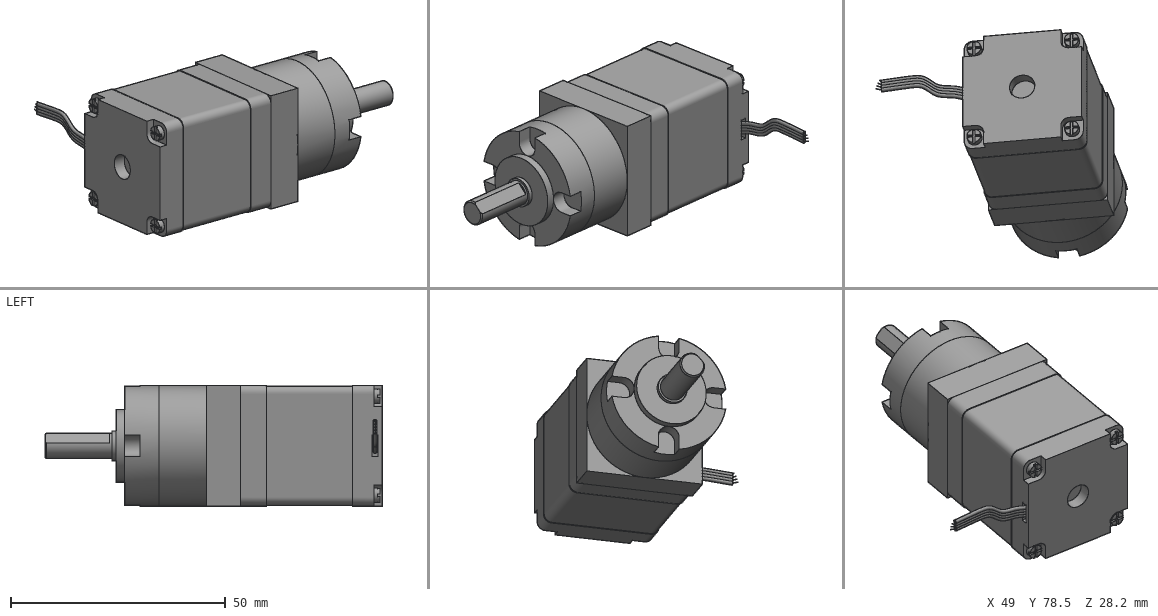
import cadquery as cq


rear_cap_length = 7.0
stator_length = 20.0
front_cap_length = 6.0
adapter_length = 8.0
ring_length = 11.1
cover_length = 7.9
pilot_length = 2.0
collar_length = 1.0
total_length = 78.5

motor_length = rear_cap_length + stator_length + front_cap_length
ring_start = motor_length + adapter_length
cover_start = ring_start + ring_length
pilot_start = cover_start + cover_length
shaft_start = pilot_start + pilot_length
shaft_length = total_length - shaft_start

motor_width = 28.2
corner_radius = 2.05
stator_inset = 0.2
rear_bore_diameter = 6.0
rear_bore_depth = 3.0

pocket_size = 4.95
pocket_depth = 2.0
pocket_corner_radius = 2.0
screw_spacing = 23.1
screw_diameter = 3.4
screw_height = 1.4
drive_width = 0.55
drive_depth = 0.55

opening_height = 5.0
opening_width = 1.4
opening_depth = 2.0
wire_y = 1.7
wire_diameter = 0.95
wire_pitch = 0.7
wire_root_z = -0.2
wire_end = (-33.6, 4.2)
wire_bends = [(-26.7, 4.6), (-24.1, 4.4), (-20.3, 1.8), (-16.8, 1.1)]
wire_end_slope = 0.05
wire_root_slope = -0.25
strand_diameter = 0.12
strand_tips_x = [-34.9, -34.7, -34.5, -34.0]
strand_rise = 0.5

gearbox_diameter = motor_width
pilot_diameter = 16.95
slot_count = 4
slot_width = 5.0
slot_depth = 3.5

shaft_diameter = 6.0
collar_diameter = 7.0
shaft_chamfer = 0.3
flat_distance = 2.5
flat_length = 15.0
flat_angle = 135

half_width = motor_width / 2


def facing_front(y):
    """Sketch plane across the axis at the given Y; a negative extrusion runs toward +Y."""
    return cq.Workplane("XZ", origin=(0, y, 0))


def cylinder(y, diameter, length):
    return facing_front(y).circle(diameter / 2).extrude(-length)


def square_block(y, width, length):
    return facing_front(y).rect(width, width).extrude(-length)


def screw_positions():
    offset = screw_spacing / 2
    return [(x, z) for x in (-offset, offset) for z in (-offset, offset)]


def motor_housing():
    stator_width = motor_width - 2 * stator_inset
    rear_cap = square_block(0, motor_width, rear_cap_length).edges("|Y").fillet(corner_radius)
    stator = square_block(rear_cap_length, stator_width, stator_length)
    stator = stator.edges("|Y").fillet(corner_radius - stator_inset)
    front_cap = square_block(rear_cap_length + stator_length, motor_width, front_cap_length)
    front_cap = front_cap.edges("|Y").fillet(corner_radius)
    rear_bore = cylinder(0, rear_bore_diameter, rear_bore_depth)
    return rear_cap.union(stator).union(front_cap).cut(rear_bore)


def corner_pockets():
    """Pockets open at the motor's corners, with only their inner corner rounded."""
    cutter_size = 2 * pocket_size
    return (
        facing_front(0)
        .rect(motor_width, motor_width, forConstruction=True)
        .vertices()
        .rect(cutter_size, cutter_size)
        .extrude(-pocket_depth)
        .edges("|Y")
        .fillet(pocket_corner_radius)
    )


def screw_head(x, z):
    top = pocket_depth - screw_height
    head = cylinder(top, screw_diameter, screw_height)
    for size in ((drive_width, screw_diameter), (screw_diameter, drive_width)):
        head = head.cut(facing_front(top).rect(*size).extrude(-drive_depth))
    return head.translate((x, 0, z))


def wire_opening():
    block = cq.Workplane("XY").box(opening_depth, opening_width, opening_height)
    return block.translate((opening_depth / 2 - half_width, wire_y, 0))


def wire(z_shift, strand_tip_x):
    """One insulated wire, from the floor of the opening to its bare strand."""
    root = (opening_depth - half_width, wire_root_z)
    points = [wire_end] + wire_bends + [root]
    tangents = [(1, wire_end_slope), (1, wire_root_slope)]
    path = facing_front(wire_y).spline(points, tangents=tangents)
    path_start = path.val().startPoint()
    path_direction = path.val().tangentAt(0)
    insulation = (
        cq.Workplane(cq.Plane(path_start, xDir=(0, 1, 0), normal=path_direction))
        .circle(wire_diameter / 2)
        .sweep(path)
    )
    strand_vector = cq.Vector(strand_tip_x - wire_end[0], 0, strand_rise)
    strand = (
        cq.Workplane(cq.Plane(path_start, xDir=(0, 1, 0), normal=strand_vector))
        .circle(strand_diameter / 2)
        .extrude(strand_vector.Length)
    )
    return insulation.union(strand).translate((0, 0, z_shift))


def make_motor():
    body = motor_housing().cut(corner_pockets()).cut(wire_opening())
    for x, z in screw_positions():
        body = body.union(screw_head(x, z))
    for i, tip_x in enumerate(strand_tips_x):
        z_shift = (i - (len(strand_tips_x) - 1) / 2) * wire_pitch
        body = body.union(wire(z_shift, tip_x))
    return body


def make_gear_housing():
    """Square adapter and the round ring gear in front of it."""
    adapter = square_block(motor_length, motor_width, adapter_length)
    return adapter.union(cylinder(ring_start, gearbox_diameter, ring_length))


def make_cover():
    body = cylinder(cover_start, gearbox_diameter, cover_length)
    slot_length = gearbox_diameter
    slot_centre = pilot_diameter / 2 + slot_length / 2
    for i in range(slot_count):
        slot = facing_front(pilot_start).center(slot_centre, 0).slot2D(slot_length, slot_width)
        slot = slot.extrude(slot_depth)
        body = body.cut(slot.rotate((0, 0, 0), (0, 1, 0), i * 360 / slot_count))
    return body.union(cylinder(pilot_start, pilot_diameter, pilot_length))


def make_shaft():
    rod = cylinder(shaft_start, shaft_diameter, shaft_length).faces(">Y").edges().chamfer(shaft_chamfer)
    flat = (
        facing_front(total_length)
        .transformed(rotate=(0, 0, flat_angle))
        .center(flat_distance + shaft_diameter / 2, 0)
        .rect(shaft_diameter, 2 * shaft_diameter)
        .extrude(flat_length)
    )
    return rod.cut(flat).union(cylinder(shaft_start, collar_diameter, collar_length))


motor = make_motor()
gear_housing = make_gear_housing()
cover = make_cover()
shaft = make_shaft()

result = cq.Compound.makeCompound([motor.val(), gear_housing.val(), cover.val(), shaft.val()])